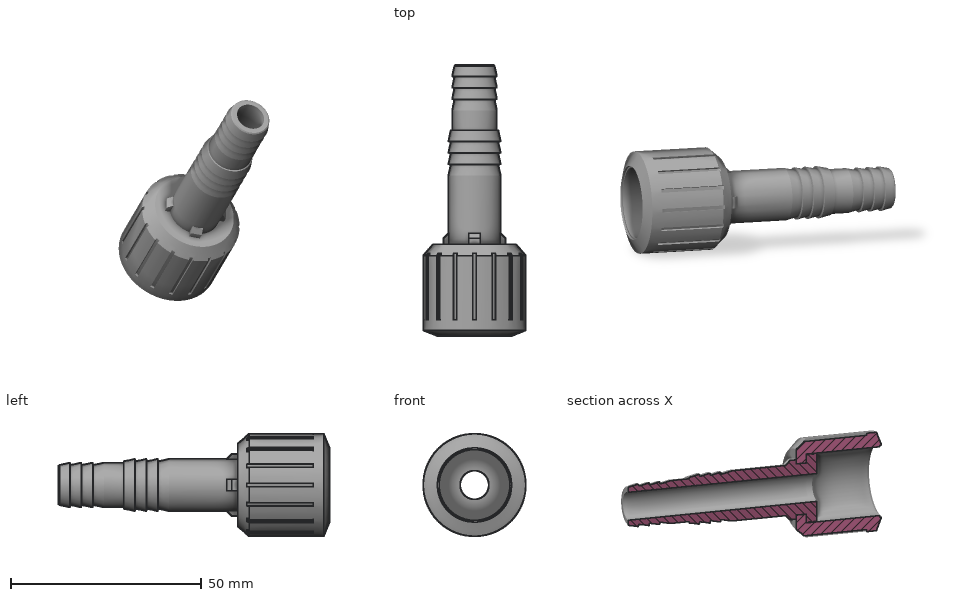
import cadquery as cq

total_length = 71.2

nut_diameter = 27.0
nut_length = 24.15
nut_bore_diameter = 18.65
nut_web_thickness = 3.0
mouth_diameter = 19.5
mouth_recess_depth = 0.6
mouth_cone_length = 1.5
back_cone_length = 3.0
back_face_diameter = 21.8

groove_count = 16
groove_width = 1.0
groove_depth = 0.6
groove_start = 4.35
groove_end = 21.7

bore_diameter = 7.5
shank_diameter = 13.8
shank_barb_root_diameter = 12.5
neck_diameter = 11.8
neck_barb_root_diameter = 10.6
neck_length = 5.1
barb_pitch = 3.0
barb_back_length = 0.15
barbs_per_group = 4
tip_chamfer = 0.3
flange_diameter = 18.6
flange_thickness = 3.0

tab_count = 4
tab_diameter = 16.3
tab_width = 2.9
tab_length = 2.85

nut_web_start = nut_length - nut_web_thickness
flange_start = nut_web_start - flange_thickness
barb_group_length = barbs_per_group * barb_pitch
neck_end = total_length - barb_group_length
neck_start = neck_end - neck_length
shank_end = neck_start - barb_group_length


def revolve_about_y(points):
    """Revolve a closed outline of (radius, y) points about the Y axis."""
    return cq.Workplane("XY").polyline(points).close().revolve(360, (0, 0), (0, 1))


def barb_points(start, tip_radius, root_radius):
    """Sawtooth outline of one barb group, without its end point at the far root.

    Each barb narrows toward +Y, and a short steep back cone leads to the next barb's tip.
    """
    points = [(tip_radius, start)]
    for index in range(1, barbs_per_group):
        tip_station = start + index * barb_pitch
        points.append((root_radius, tip_station - barb_back_length))
        points.append((tip_radius, tip_station))
    return points


def nut_body():
    """Nut shell with a coned outside and a shallow recess at its mouth."""
    outer_radius = nut_diameter / 2
    bore_radius = nut_bore_diameter / 2
    mouth_radius = mouth_diameter / 2
    shank_radius = shank_diameter / 2
    return revolve_about_y([
        (mouth_radius, 0),
        (outer_radius, mouth_cone_length),
        (outer_radius, nut_length - back_cone_length),
        (back_face_diameter / 2, nut_length),
        (shank_radius, nut_length),
        (shank_radius, nut_web_start),
        (bore_radius, nut_web_start),
        (bore_radius, mouth_recess_depth),
        (mouth_radius, mouth_recess_depth),
    ])


def cut_grip_grooves(body):
    """Cut flat-floored grooves along the outside of the nut."""
    floor_radius = nut_diameter / 2 - groove_depth
    cutter = cq.Workplane("XY").box(
        2 * groove_depth, groove_end - groove_start, groove_width, centered=(False, False, True)
    ).translate((floor_radius, groove_start, 0))
    for index in range(groove_count):
        angle = index * 360 / groove_count
        body = body.cut(cutter.rotate((0, 0, 0), (0, 1, 0), angle))
    return body


def make_nut():
    return cut_grip_grooves(nut_body())


def tail_body():
    """Flanged tube with two groups of barbs, bored right through."""
    bore_radius = bore_diameter / 2
    shank_radius = shank_diameter / 2
    neck_radius = neck_diameter / 2
    shank_barb_root_radius = shank_barb_root_diameter / 2
    neck_barb_root_radius = neck_barb_root_diameter / 2
    flange_radius = flange_diameter / 2
    return revolve_about_y([
        (bore_radius, flange_start),
        (flange_radius, flange_start),
        (flange_radius, nut_web_start),
        (shank_radius, nut_web_start),
        *barb_points(shank_end, shank_radius, shank_barb_root_radius),
        (shank_barb_root_radius, neck_start),
        (neck_radius, neck_start),
        *barb_points(neck_end, neck_radius, neck_barb_root_radius),
        (neck_barb_root_radius, total_length - tip_chamfer),
        (neck_barb_root_radius - tip_chamfer, total_length),
        (bore_radius, total_length),
    ])


def add_retaining_tabs(body):
    """Add ramped tabs that hold the nut against the flange."""
    tab_radius = tab_diameter / 2
    shank_radius = shank_diameter / 2
    root_radius = (bore_diameter + shank_diameter) / 4
    tab_end = nut_length + tab_length
    ramp_start = tab_end - (tab_radius - shank_radius)
    tab = (
        cq.Workplane("XY")
        .polyline([
            (root_radius, nut_length),
            (tab_radius, nut_length),
            (tab_radius, ramp_start),
            (shank_radius, tab_end),
            (root_radius, tab_end),
        ])
        .close()
        .extrude(tab_width / 2, both=True)
    )
    for index in range(tab_count):
        angle = index * 360 / tab_count
        body = body.union(tab.rotate((0, 0, 0), (0, 1, 0), angle))
    return body


def make_hose_tail():
    return add_retaining_tabs(tail_body())


nut = make_nut()
hose_tail = make_hose_tail()

result = cq.Compound.makeCompound([nut.solids().val(), hose_tail.solids().val()])